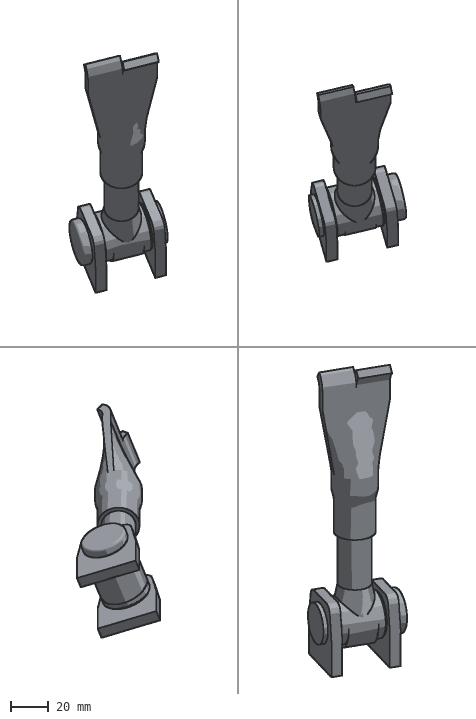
import cadquery as cq
import math


pin_radius = 11.4
pin_end_y = 22.3
pin_dome_height = 1.2
head_radius = 12.5
head_thickness = 5.8
head_edge_radius = 1.5

barrel_radius = 13.3
barrel_length = 25.2
pad_length = 17.0
pad_depth = 15.5
neck_top_z = 20.0
neck_base_z = 4.5
neck_half_angle = 11.5

washer_radius = 12.4
washer_thickness = 1.0
plate_thickness = 6.1
plate_width = 33.0
plate_bottom_z = -24.8
plate_height = 40.1
plate_straight_height = 20.9
plate_top_width = 26.7
plate_corner_radius = 5.1

rod_radius = 9.2
rod_end_z = 69.2

sleeve_radius = 11.2
collar_radius = 12.5
sleeve_bottom_z = 50.2
shoulder_height = 7.3
shoulder_bottom_z = rod_end_z
collar_top_z = 86.2

blade_width = 38.6
blade_thickness = 4.8
blade_bottom_z = 125.1
bend_start_z = 135.3
bend_inner_radius = 8.0
bend_angle = 50.6
transition_edge_half_width = 1.7

washer_inner_y = barrel_length / 2
plate_inner_y = washer_inner_y + washer_thickness
plate_outer_y = plate_inner_y + plate_thickness


def cylinder_y(radius, start_y, end_y):
    """Cylinder around the pin axis between two Y positions."""
    return (
        cq.Workplane("XZ", origin=(0, start_y, 0))
        .circle(radius)
        .extrude(start_y - end_y)
    )


def make_pin():
    """Shaft with a domed tip, joined to a head rounded on both edges."""
    dome_radius = (pin_radius**2 + pin_dome_height**2) / (2 * pin_dome_height)
    shaft = (
        cq.Workplane("XY")
        .moveTo(0, -plate_outer_y)
        .lineTo(pin_radius, -plate_outer_y)
        .lineTo(pin_radius, pin_end_y)
        .radiusArc((0, pin_end_y + pin_dome_height), -dome_radius)
        .close()
        .revolve(360, (0, 0, 0), (0, 1, 0))
    )
    head = cylinder_y(head_radius, -plate_outer_y - head_thickness, -plate_outer_y)
    return shaft.union(head.edges().fillet(head_edge_radius))


def make_eye():
    """Barrel with a half-elliptical pad below and a tapered neck above, bored for the pin."""
    barrel = cylinder_y(barrel_radius, -barrel_length / 2, barrel_length / 2)
    pad = (
        cq.Workplane("XZ", origin=(0, pad_length / 2, 0))
        .moveTo(-barrel_radius, 0)
        .ellipseArc(barrel_radius, pad_depth, 180, 360, startAtCurrent=True)
        .close()
        .extrude(pad_length)
    )
    neck_height = neck_top_z - neck_base_z
    neck_base_radius = rod_radius + neck_height * math.tan(math.radians(neck_half_angle))
    neck = cq.Workplane(
        cq.Solid.makeCone(neck_base_radius, rod_radius, neck_height, cq.Vector(0, 0, neck_base_z))
    )
    bore = cylinder_y(pin_radius, -barrel_length / 2, barrel_length / 2)
    return barrel.union(pad).union(neck).cut(bore)


def make_plate(start_y):
    straight_top_z = plate_bottom_z + plate_straight_height
    top_z = plate_bottom_z + plate_height
    end_y = start_y + plate_thickness
    plate = (
        cq.Workplane("XZ", origin=(0, end_y, 0))
        .moveTo(-plate_width / 2, plate_bottom_z)
        .lineTo(plate_width / 2, plate_bottom_z)
        .lineTo(plate_width / 2, straight_top_z)
        .lineTo(plate_top_width / 2, top_z)
        .lineTo(-plate_top_width / 2, top_z)
        .lineTo(-plate_width / 2, straight_top_z)
        .close()
        .extrude(plate_thickness)
        .edges("|Y and >Z")
        .fillet(plate_corner_radius)
    )
    return plate.cut(cylinder_y(pin_radius, start_y, end_y))


def make_washer(start_y):
    end_y = start_y + washer_thickness
    return cylinder_y(washer_radius, start_y, end_y).cut(cylinder_y(pin_radius, start_y, end_y))


def make_rod():
    return (
        cq.Workplane("XY", origin=(0, 0, neck_top_z))
        .circle(rod_radius)
        .extrude(rod_end_z - neck_top_z)
    )


def make_sleeve_and_collar():
    """Turned part of the socket, bored for the rod."""
    shoulder_top_z = shoulder_bottom_z + shoulder_height
    middle = ((sleeve_radius + collar_radius) / 2, shoulder_bottom_z + shoulder_height / 2)
    return (
        cq.Workplane("XZ")
        .moveTo(rod_radius, sleeve_bottom_z)
        .lineTo(sleeve_radius, sleeve_bottom_z)
        .lineTo(sleeve_radius, shoulder_bottom_z)
        .tangentArcPoint(middle, relative=False)
        .tangentArcPoint((collar_radius, shoulder_top_z), relative=False)
        .lineTo(collar_radius, collar_top_z)
        .lineTo(0, collar_top_z)
        .lineTo(0, rod_end_z)
        .lineTo(rod_radius, rod_end_z)
        .close()
        .revolve(360, (0, 0, 0), (0, 1, 0))
    )


def make_transition():
    """Loft from the round collar to the flat blade, with a narrow face along each edge."""
    edge_x = transition_edge_half_width
    edge_y = math.sqrt(collar_radius**2 - edge_x**2)
    return (
        cq.Workplane("XY", origin=(0, 0, collar_top_z))
        .moveTo(-edge_x, -edge_y)
        .threePointArc((0, -collar_radius), (edge_x, -edge_y))
        .threePointArc((collar_radius, 0), (edge_x, edge_y))
        .threePointArc((0, collar_radius), (-edge_x, edge_y))
        .threePointArc((-collar_radius, 0), (-edge_x, -edge_y))
        .close()
        .workplane(offset=blade_bottom_z - collar_top_z)
        .moveTo(-blade_thickness / 2, -blade_width / 2)
        .lineTo(blade_thickness / 2, -blade_width / 2)
        .lineTo(blade_thickness / 2, blade_width / 2)
        .lineTo(-blade_thickness / 2, blade_width / 2)
        .close()
        .loft(ruled=True)
    )


def make_blade_half(end_y, bend_side):
    """Blade half between Y = 0 and end_y, its top bent toward bend_side (-1 or +1) in X."""
    bend_center_x = bend_side * (blade_thickness / 2 + bend_inner_radius)
    bend_outer_radius = bend_inner_radius + blade_thickness

    def bend_point(radius, angle):
        return (
            bend_center_x - bend_side * radius * math.cos(math.radians(angle)),
            bend_start_z + radius * math.sin(math.radians(angle)),
        )

    return (
        cq.Workplane("XZ")
        .moveTo(-bend_side * blade_thickness / 2, blade_bottom_z)
        .lineTo(*bend_point(bend_outer_radius, 0))
        .threePointArc(
            bend_point(bend_outer_radius, bend_angle / 2),
            bend_point(bend_outer_radius, bend_angle),
        )
        .lineTo(*bend_point(bend_inner_radius, bend_angle))
        .threePointArc(
            bend_point(bend_inner_radius, bend_angle / 2),
            bend_point(bend_inner_radius, 0),
        )
        .lineTo(bend_side * blade_thickness / 2, blade_bottom_z)
        .close()
        .extrude(-end_y)
    )


def make_socket():
    socket = make_sleeve_and_collar().union(make_transition())
    for side in (-1, 1):
        socket = socket.union(make_blade_half(side * blade_width / 2, side))
    return socket


pin = make_pin()
eye = make_eye()
rod = make_rod()
socket = make_socket()
plates = [make_plate(start_y) for start_y in (-plate_outer_y, plate_inner_y)]
washers = [make_washer(start_y) for start_y in (-plate_inner_y, washer_inner_y)]

result = cq.Compound.makeCompound(
    [body.val() for body in (pin, eye, rod, socket, *plates, *washers)]
)